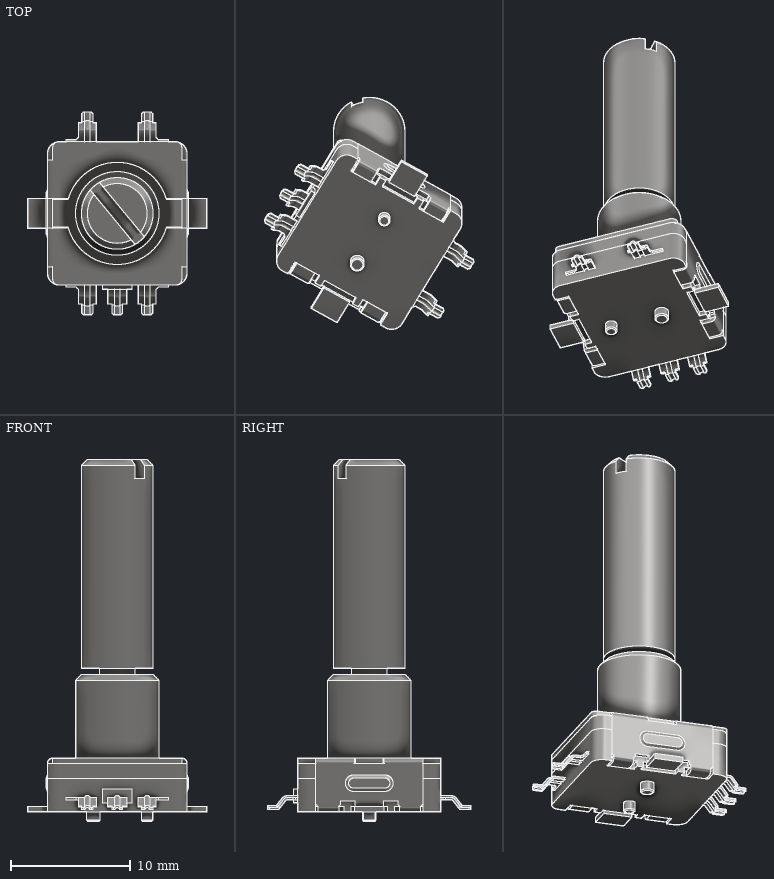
import cadquery as cq
import math


case_x = 11.7
case_y = 12.0
corner_radius = 1.0
base_top = 2.8
sheet = 0.45
cover_top = 4.5
housing_top = cover_top - sheet
wall_outer = case_x / 2
wall_inner = wall_outer - sheet

strap_half = 4.48
plate_corner_radius = 0.45
opening_radius = 4.28
opening_arm_half = 1.24
arm_gap = 0.08
top_bend_radius = 0.449
tab_bend_radius = 0.4
tab_length = 1.2
tab_y_min = 2.55
tab_y_max = 4.3
tab_shoulder = 0.65
notch_y_min = 1.2
notch_y_max = 2.4
notch_height = 0.9
ear_half = 1.25
ear_span = 15.0
emboss_length = 4.0
emboss_height = 1.38
emboss_z = 2.4
emboss_depth = 0.1
emboss_inset = 0.27

ear_relief_half = 1.53
ear_relief_depth = 0.6
tab_relief_y_min = 2.1
block_size_x = 2.5
block_z_min = 0.74
block_z_max = 1.92
block_depth = 0.35
peg_length = 0.8
peg_chamfer = 0.1
pegs = [(-2.0, 1.15), (2.5, 0.95)]

bushing_diameter = 7.0
bushing_top = 11.5
bushing_chamfer = 0.5
neck_diameter = 3.0
shaft_diameter = 6.0
shaft_bottom = 12.0
shaft_top = 29.5
shaft_chamfer = 0.5
slot_width = 1.0
slot_depth = 1.6
slot_angle = -50.5

terminal_sheet = 0.2
terminal_z = 1.0
foot_z = 0.18
terminal_tip = 8.5
terminal_root = case_y / 2 - 1.0
bend_start = 6.85
bend_radius = 0.2
bend_angle = math.radians(52)
shoulder_end = 7.6
shoulder_z = 0.39
outer_terminal_width = 1.5
middle_terminal_width = 1.6
outer_foot_width = 0.95
middle_foot_width = 0.9
foot_chamfer = 0.15
rib_half = 0.23
rib_height = 0.17
groove_half = 0.2
bar_reach = 1.8
bar_protrusion = 0.17
bar_chamfer = 0.2
outer_terminal_x = 2.5


def box(x_min, x_max, y_min, y_max, z_min, z_max):
    """Box between two opposite corners."""
    return cq.Workplane("XY").box(
        x_max - x_min, y_max - y_min, z_max - z_min, centered=False
    ).translate((x_min, y_min, z_min))


def on_both_sides(solid):
    """The solid together with its mirror image in the YZ plane."""
    return solid.union(solid.mirror("YZ"))


def case_block(z_min, z_max):
    """Slice of the round-cornered case, recessed where the cover walls lie."""
    block = box(-wall_outer, wall_outer, -case_y / 2, case_y / 2, z_min, z_max)
    block = block.edges("|Z").fillet(corner_radius)
    wall_recess = box(wall_inner, wall_outer, -strap_half, strap_half, z_min, z_max)
    return block.cut(on_both_sides(wall_recess))


def cylinder(diameter, z_min, z_max, x=0):
    """Vertical cylinder between two heights."""
    return cq.Workplane("XY", origin=(x, 0, z_min)).circle(diameter / 2).extrude(z_max - z_min)


def terminal_strip(width):
    """Bent strip with a pressed lengthwise rib, pointing along +Y."""
    slope_start_y = bend_start + bend_radius * math.sin(bend_angle)
    slope_start_z = terminal_z - bend_radius * (1 - math.cos(bend_angle))
    arc_mid_y = bend_start + bend_radius * math.sin(bend_angle / 2)
    arc_mid_z = terminal_z - bend_radius * (1 - math.cos(bend_angle / 2))
    foot_start_y = slope_start_y + (slope_start_z - foot_z) / math.tan(bend_angle)
    path = (
        cq.Workplane("YZ")
        .moveTo(terminal_root, terminal_z)
        .lineTo(bend_start, terminal_z)
        .threePointArc((arc_mid_y, arc_mid_z), (slope_start_y, slope_start_z))
        .lineTo(foot_start_y, foot_z)
        .lineTo(terminal_tip, foot_z)
    )
    section = (
        cq.Workplane("XZ", origin=(0, terminal_root, terminal_z))
        .moveTo(-width / 2, 0)
        .lineTo(-groove_half, 0)
        .threePointArc((0, rib_height), (groove_half, 0))
        .lineTo(width / 2, 0)
        .lineTo(width / 2, terminal_sheet)
        .lineTo(rib_half, terminal_sheet)
        .threePointArc((0, terminal_sheet + rib_height), (-rib_half, terminal_sheet))
        .lineTo(-width / 2, terminal_sheet)
        .close()
    )
    return section.sweep(path, transition="right")


def make_terminal(width, foot_width, bar_side=0):
    """Terminal pointing along +Y; bar_side is the X direction of its anchor bar, 0 for none."""
    shoulders = box(-width / 2, width / 2, terminal_root, shoulder_end, shoulder_z, base_top)
    foot = box(-foot_width / 2, foot_width / 2, terminal_root, terminal_tip, 0, base_top)
    foot = foot.edges("|Z and >Y").chamfer(foot_chamfer)
    terminal = terminal_strip(width).intersect(shoulders.union(foot))
    if bar_side:
        bar_end_y = case_y / 2 + bar_protrusion
        bar = (
            cq.Workplane("XY", origin=(0, 0, terminal_z))
            .moveTo(bar_side * groove_half, terminal_root)
            .lineTo(bar_side * bar_reach, terminal_root)
            .lineTo(bar_side * bar_reach, bar_end_y)
            .lineTo(bar_side * (width / 2 + bar_chamfer), bar_end_y)
            .lineTo(bar_side * width / 2, bar_end_y + bar_chamfer)
            .lineTo(bar_side * groove_half, bar_end_y + bar_chamfer)
            .close()
            .extrude(terminal_sheet)
        )
        terminal = terminal.union(bar)
    return terminal


def make_terminals():
    """Two terminals on the +Y side and three on the -Y side."""
    middle = make_terminal(middle_terminal_width, middle_foot_width)
    terminals = [middle.mirror("XZ")]
    for side in (-1, 1):
        back = make_terminal(outer_terminal_width, outer_foot_width, side)
        back = back.translate((side * outer_terminal_x, 0, 0))
        terminals.append(back)
        terminals.append(back.mirror("XZ"))
    return terminals


def raised_rim():
    """Flat-topped oblong emboss on the +X wall."""
    outline = cq.Workplane("YZ", origin=(wall_outer, 0, emboss_z)).slot2D(emboss_length, emboss_height)
    taper = math.degrees(math.atan(emboss_inset / emboss_depth))
    return outline.extrude(emboss_depth, taper=taper)


def cover_wall():
    """The +X wall: rounded top bend, narrowed foot, ear and folded tabs."""
    wall = box(wall_inner, wall_outer, -strap_half, strap_half, tab_shoulder, cover_top)
    wall = wall.edges("|Y and >X and >Z").fillet(top_bend_radius)
    for side in (-1, 1):
        shoulder = (
            cq.Workplane("YZ", origin=(wall_inner, 0, 0))
            .moveTo(side * notch_y_max, tab_shoulder)
            .lineTo(side * strap_half, tab_shoulder)
            .lineTo(side * tab_y_max, sheet)
            .lineTo(side * tab_y_min, sheet)
            .close()
            .extrude(sheet)
        )
        y_min, y_max = sorted((side * tab_y_min, side * tab_y_max))
        tab = box(wall_outer - tab_length, wall_outer, y_min, y_max, 0, sheet)
        tab = tab.edges("|Y and >X and <Z").fillet(tab_bend_radius)
        y_min, y_max = sorted((side * notch_y_min, side * notch_y_max))
        notch = box(wall_inner, wall_outer, y_min, y_max, 0, notch_height)
        wall = wall.union(shoulder).union(tab).cut(notch)
    ear_root = box(wall_inner, wall_outer, -notch_y_min, notch_y_min, 0, tab_shoulder)
    ear = box(wall_inner, ear_span / 2, -ear_half, ear_half, 0, sheet)
    return wall.union(ear_root).union(ear).union(raised_rim())


def make_cover():
    """Top plate with two bent side walls, open around the bushing flange and its arms."""
    plate = box(-wall_inner, wall_inner, -case_y / 2, case_y / 2, housing_top, cover_top)
    plate = plate.edges("|Z").fillet(plate_corner_radius)
    opening = cylinder(2 * opening_radius, housing_top, cover_top)
    arms = box(-case_x, case_x, -opening_arm_half, opening_arm_half, housing_top, cover_top)
    return plate.union(on_both_sides(cover_wall())).cut(opening.union(arms))


def make_base(terminals):
    """Lower case with locating pegs, front block, cover reliefs and terminal pockets."""
    base = case_block(0, base_top)
    block = box(
        -block_size_x / 2, block_size_x / 2,
        -case_y / 2 - block_depth, -case_y / 2,
        block_z_min, block_z_max,
    )
    base = base.union(block)
    for x, diameter in pegs:
        peg = cylinder(diameter, -peg_length, 0, x)
        base = base.union(peg.faces("<Z").chamfer(peg_chamfer))
    relief = box(wall_inner - ear_relief_depth, wall_outer, -ear_relief_half, ear_relief_half, 0, sheet)
    for y_min, y_max in ((tab_relief_y_min, strap_half), (-strap_half, -tab_relief_y_min)):
        relief = relief.union(box(wall_outer - tab_length, wall_outer, y_min, y_max, 0, sheet))
    base = base.cut(on_both_sides(relief))
    for terminal in terminals:
        base = base.cut(terminal)
    return base


def make_bushing():
    """Upper case with the flange, arms and bored barrel that guide the shaft."""
    housing = case_block(base_top, housing_top)
    flange = cylinder(2 * opening_radius, housing_top, cover_top)
    arm_half = opening_arm_half - arm_gap
    arms = box(-wall_inner, wall_inner, -arm_half, arm_half, housing_top, cover_top)
    barrel = cylinder(bushing_diameter, housing_top, bushing_top).faces(">Z").chamfer(bushing_chamfer)
    bore = cylinder(neck_diameter, base_top, bushing_top)
    return housing.union(flange).union(arms).union(barrel).cut(bore)


def make_shaft():
    """Shaft with a thin neck and a slotted, chamfered end."""
    shaft = cylinder(shaft_diameter, shaft_bottom, shaft_top).faces(">Z").chamfer(shaft_chamfer)
    shaft = shaft.union(cylinder(neck_diameter, base_top, shaft_bottom))
    slot = box(
        -shaft_diameter, shaft_diameter, -slot_width / 2, slot_width / 2, shaft_top - slot_depth, shaft_top
    )
    return shaft.cut(slot.rotate((0, 0, 0), (0, 0, 1), slot_angle))


terminals = make_terminals()
base = make_base(terminals)
bushing = make_bushing()
cover = make_cover()
shaft = make_shaft()

bodies = [base, bushing, cover, shaft, *terminals]
result = cq.Compound.makeCompound([body.solids().val() for body in bodies])